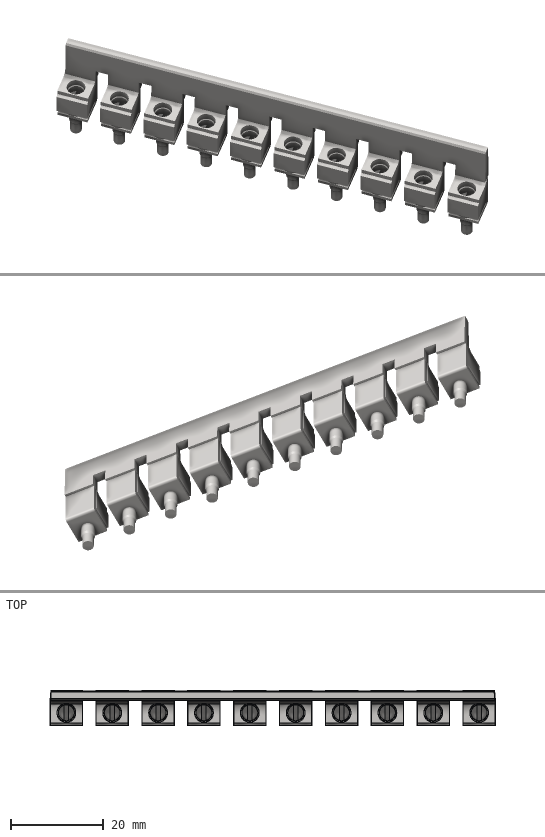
import cadquery as cq

length = 96.1
depth = 7.6
height = 24.0
pole_count = 10
pole_width = 7.0
pole_pitch = (length - pole_width) / (pole_count - 1)

plate_bottom = 14.4
plate_bottom_thickness = 2.3
plate_draft = 0.3
plate_end_inset = 0.2
plate_chamfer_width = 0.3
plate_chamfer_height = 0.5
slot_top = 17.7

bracket_back = 0.6
bracket_side_inset = 0.1
bracket_thickness = 1.2
bracket_foot_thickness = 0.8
bracket_bottom = 6.2
bracket_front = 7.2
bracket_corner_radius = 0.7

block_back = bracket_back + bracket_thickness
block_bottom = 7.9
block_top = 13.9
block_top_back = 2.9
block_ledge_width = 0.6
block_ledge_drop = 0.4
block_ledge_bottom = 12.5
access_hole_diameter = 4.0
access_hole_depth = 1.6

screw_y = 4.8
screw_head_diameter = 3.5
screw_head_top = 10.6
screw_slot_width = 1.0
screw_slot_depth = 1.0
washer_diameter = 4.8
shank_diameter = 3.0
tip_diameter = 2.5
tip_length = 3.0
tip_cone_height = 0.5


def extrude_profile(points, width):
    """Extrude an outline of (distance from the back, height) points along X from x = 0."""
    outline = [(-distance, z) for distance, z in points]
    return cq.Workplane("YZ").polyline(outline).close().extrude(width)


def cylinder(diameter, bottom, top):
    """Upright cylinder on the screw axis of the first pole."""
    base = cq.Workplane("XY", origin=(pole_width / 2, -screw_y, bottom))
    return base.circle(diameter / 2).extrude(top - bottom)


def comb_plate():
    top_front = plate_bottom_thickness - plate_draft
    plate = extrude_profile(
        [
            (0, plate_bottom),
            (plate_draft, height),
            (top_front - plate_chamfer_width, height),
            (top_front, height - plate_chamfer_height),
            (plate_bottom_thickness, plate_bottom),
        ],
        length - 2 * plate_end_inset,
    ).translate((plate_end_inset, 0, 0))
    slot_width = pole_pitch - pole_width
    for index in range(pole_count - 1):
        slot_start = index * pole_pitch + pole_width
        slot = cq.Workplane("XY").box(slot_width, depth, slot_top - plate_bottom, centered=False)
        plate = plate.cut(slot.translate((slot_start, -depth, plate_bottom)))
    return plate


def bracket():
    foot_top = bracket_bottom + bracket_foot_thickness
    angle = extrude_profile(
        [
            (bracket_back, plate_bottom),
            (bracket_back, bracket_bottom),
            (bracket_front, bracket_bottom),
            (bracket_front, foot_top),
            (block_back, foot_top),
            (block_back, plate_bottom),
        ],
        pole_width - 2 * bracket_side_inset,
    ).translate((bracket_side_inset, 0, 0))
    return angle.edges("|X and >Y and <Z").fillet(bracket_corner_radius)


def clamp_block():
    """Block with a sloping ledge in front, a ramp up to the plate behind and a stepped screw well."""
    block_top_front = depth - block_ledge_width
    block = extrude_profile(
        [
            (block_back, block_bottom),
            (depth, block_bottom),
            (depth, block_ledge_bottom),
            (block_top_front, block_ledge_bottom + block_ledge_drop),
            (block_top_front, block_top),
            (block_top_back, block_top),
            (plate_bottom_thickness, plate_bottom),
            (block_back, plate_bottom),
        ],
        pole_width,
    )
    access_hole = cylinder(access_hole_diameter, block_top - access_hole_depth, block_top)
    head_well = cylinder(screw_head_diameter, screw_head_top, block_top)
    screw_slot = cq.Workplane("XY", origin=(pole_width / 2, -screw_y, screw_head_top)).box(
        screw_slot_width,
        depth,
        2 * screw_slot_depth,
    )
    head = cylinder(screw_head_diameter, screw_head_top - screw_slot_depth, screw_head_top)
    return block.cut(access_hole).cut(head_well).cut(head.intersect(screw_slot))


def screw_end():
    """Washer, shank and tip below the block, with a cone between shank and tip."""
    washer = cylinder(washer_diameter, bracket_bottom + bracket_foot_thickness, block_bottom)
    shank = cylinder(shank_diameter, tip_length, bracket_bottom)
    cone_width = (shank_diameter - tip_diameter) / 2
    shank = shank.faces("<Z").chamfer(tip_cone_height, cone_width)
    tip = cylinder(tip_diameter, 0, tip_length)
    return washer.union(shank).union(tip)


pole = bracket().union(clamp_block()).union(screw_end())
result = comb_plate()
for index in range(pole_count):
    result = result.union(pole.translate((index * pole_pitch, 0, 0)))